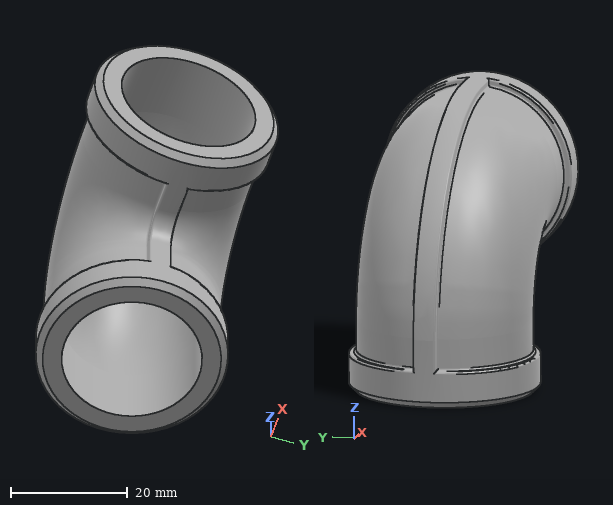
import cadquery as cq

overall = 49.0
collar_diameter = 33.0
body_diameter = 30.45
bore_diameter = 24.1
straight_length = 12.0
collar_length = 6.5
end_chamfer = 1.2
rib_width = 3.9
step_round = 0.4

slab_size = 4 * overall
match_tolerance = 0.005

collar_radius = collar_diameter / 2
bend_radius = overall - straight_length - collar_radius
outlet_x = bend_radius + straight_length
outlet_z = straight_length + bend_radius


def inlet_cylinder(diameter, length):
    """Vertical cylinder rising from the lower end face."""
    return cq.Workplane("XY").circle(diameter / 2).extrude(length)


def outlet_cylinder(diameter, length):
    """Horizontal cylinder running inward from the end face on the +X side."""
    plane = cq.Plane(origin=(outlet_x, 0, outlet_z), xDir=(0, 0, 1), normal=(-1, 0, 0))
    return cq.Workplane(plane).circle(diameter / 2).extrude(length)


def elbow(diameter):
    """Solid rod following the elbow centerline from end to end."""
    bend = (
        cq.Workplane("XY", origin=(0, 0, straight_length))
        .circle(diameter / 2)
        .revolve(90, (bend_radius, 0, 0), (bend_radius, 1, 0))
    )
    inlet = inlet_cylinder(diameter, straight_length)
    outlet = outlet_cylinder(diameter, straight_length)
    return inlet.union(bend).union(outlet)


def rounded_collar(cylinder, mouth, shoulder):
    """Collar with a chamfered mouth and a rounded shoulder."""
    return cylinder.faces(mouth).chamfer(end_chamfer).faces(shoulder).edges().fillet(step_round)


def collars():
    """Raised band at each end of the elbow."""
    inlet = rounded_collar(inlet_cylinder(collar_diameter, collar_length), "<Z", ">Z")
    outlet = rounded_collar(outlet_cylinder(collar_diameter, collar_length), ">X", "<X")
    return inlet.union(outlet)


def ribs():
    """Outer and inner ribs on the plane of the bend, as high as the collars."""
    slab = cq.Workplane("XY").box(slab_size, rib_width, slab_size)
    mouths = inlet_cylinder(collar_diameter, end_chamfer).union(
        outlet_cylinder(collar_diameter, end_chamfer)
    )
    plates = elbow(collar_diameter).intersect(slab).cut(mouths)
    return plates.faces("|Y").edges("not(<Z or >X)").fillet(step_round)


def centerline():
    """Path of the bore axis from the lower end face to the +X end face."""
    return (
        cq.Workplane("XZ")
        .lineTo(0, straight_length)
        .radiusArc((bend_radius, outlet_z), bend_radius)
        .lineTo(outlet_x, outlet_z)
        .wire()
        .val()
    )


def fillet_roots(solid):
    """Fillet where the rib walls and collar shoulders meet the body surface."""
    path = centerline()

    def on_body_surface(edge):
        midpoint = cq.Vertex.makeVertex(*edge.positionAt(0.5).toTuple())
        return abs(path.distance(midpoint) - body_diameter / 2) < match_tolerance

    return solid.faces("%PLANE").edges().filter(on_body_surface).fillet(step_round)


outside = elbow(body_diameter).union(collars()).union(ribs())
result = fillet_roots(outside).cut(elbow(bore_diameter))